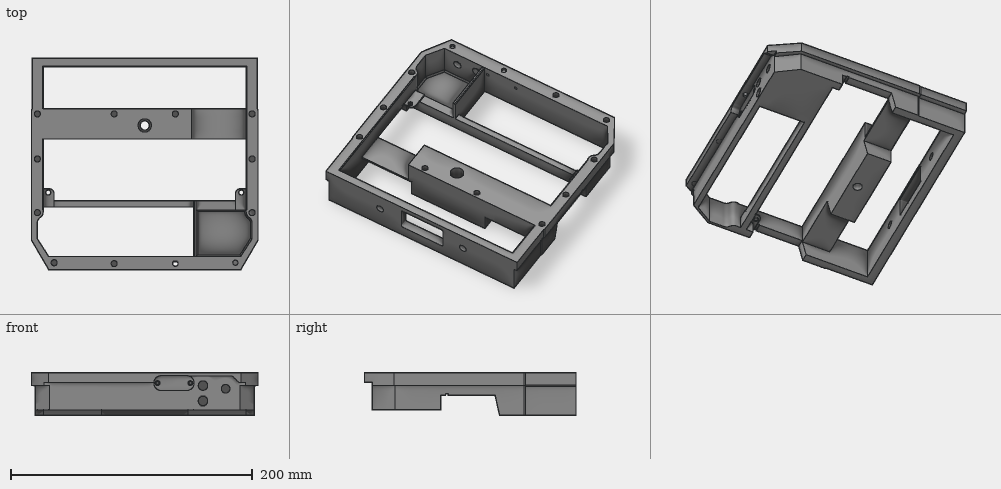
import cadquery as cq

width = 187.3
depth = 175.0
height = 35.2

clearance = 1.9

flange_bottom = 24.5
front_lip_bottom = 27.2
skirt_half = 90.7
rear_inset = 0.5
rear_flange_half = width / 2 - rear_inset
rear_skirt_half = skirt_half - rear_inset
jog_front = 132.0
jog_rear = 133.4
flange_corner = (79.5, 24.4)
skirt_corner = (78.7, 25.1)
skirt_front = 6.4
rear_flange_bottom = 25.1
rear_flange_slope_end = 23.8

front_bottom = 4.5
side_gap_top = 16.5
side_gap_front = 63.1
side_gap_rear = 107.9
rear_foot_front = 111.6

inner_half = 84.0
inner_rear = 167.7
inner_front = 11.0
bay_half = 88.8
bay_front_half = 79.5
bay_diagonal_y = 25.7
bay_side_y = 41.5
bay_shoulder_y = 45.0
rim_chamfer = 0.7
boss_radius = 5.2
boss_side_radius = 5.8
bay_side = [
    (bay_front_half, inner_front),
    (bay_half, bay_diagonal_y),
    (bay_half, bay_side_y),
    (inner_half, bay_shoulder_y),
]

bar_front = 108.0
bar_rear = 133.2
bar_right = 38.8
bar_bottom = 14.8
plate_top = side_gap_top
block_half = 35.8
bar_hole_y = 119.3
bar_hole_diameter = 7.5
bar_counterbore_diameter = 11.0

rail_front = 51.9
rail_rear = 57.1
rail_top = 16.1
partition_left = 40.3
partition_right = 42.5
partition_top = 34.8
partition_chamfer = 0.7
bay_floor = 6.4
bay_rear = 49.5
bay_floor_chamfer = 1.3
bay_corner_radius = 1.7

tab_inner_x = 75.0
tab_rear = 67.0
tab_thickness = 1.1
tab_corner = 4.1
tab_hole_x = 79.8
tab_hole_y = 63.9
tab_hole_diameter = 4.0
tab_notch_rear = 69.1
tab_notch_top = side_gap_top + tab_thickness

screw_diameter = 5.0
screw_depth = 7.1
small_screw_diameter = 4.3
corner_screw_depth = 2.2
side_screw_x = 88.8
side_screw_ys = (47.2, 91.6, 128.9)
middle_screw_x = 25.3
front_screw_y = 5.0
corner_screw_x = 75.0
corner_screw_y = 5.8

seat_x = 24.2
seat_z = 26.6
seat_length = 33.3
seat_height = 12.4
seat_depth = 1.0
seat_hole_spacing = 27.2
seat_hole_diameter = 2.6
seat_counterbore_diameter = 4.0
seat_counterbore_depth = 0.5
seat_hole_depth = 2.8
relief_top = 32.6
relief_right = 72.3
relief_slope = relief_top - front_lip_bottom

front_ports = ((48.1, 24.5, 7.9), (48.1, 11.8, 7.9), (66.9, 22.0, 7.1))

window_x = -0.5
window_width = 40.5
window_bottom = 10.3
window_top = 30.7
window_corner = 1.5
rear_hole_x = 40.3
rear_hole_z = 20.0
rear_hole_diameter = 6.5


def box(x0, x1, y0, y1, z0, z1):
    """Box given by its limits along each axis."""
    return cq.Workplane("XY").box(x1 - x0, y1 - y0, z1 - z0, centered=False).translate((x0, y0, z0))


def prism(points, z0, z1):
    """Upright prism over a closed outline in X and Y."""
    return cq.Workplane("XY").workplane(offset=z0).polyline(points).close().extrude(z1 - z0)


def mirrored(points):
    """Close an outline that is symmetric in X from its right half."""
    return points + [(-x, y) for x, y in reversed(points)]


def drill(x, y, diameter, z0, z1):
    """Upright cylinder used as a hole."""
    return cq.Workplane("XY").workplane(offset=z0).center(x, y).circle(diameter / 2).extrude(z1 - z0)


def drill_along_y(x, z, diameter, y0, y1):
    """Cylinder along Y used as a hole."""
    plane = cq.Workplane("XZ", origin=(0, y0, 0))
    return plane.center(x, z).circle(diameter / 2).extrude(y0 - y1)


def outer_body():
    skirt = prism(
        mirrored([
            (skirt_corner[0], skirt_front),
            (skirt_half, skirt_corner[1]),
            (skirt_half, jog_front),
            (rear_skirt_half, jog_rear),
            (rear_skirt_half, depth),
        ]),
        0,
        height,
    )
    front_flange = prism(
        mirrored([
            (flange_corner[0], 0),
            (width / 2, flange_corner[1]),
            (width / 2, jog_front),
            (rear_flange_half, jog_rear),
        ]),
        flange_bottom,
        height,
    )
    under_lip = box(-width, width, -clearance, skirt_front, 0, front_lip_bottom)
    rear_profile = mirrored([
        (rear_skirt_half, rear_flange_slope_end),
        (rear_flange_half, rear_flange_bottom),
        (rear_flange_half, height),
    ])
    rear_flange = (
        cq.Workplane("XZ", origin=(0, jog_rear, 0)).polyline(rear_profile).close().extrude(jog_rear - depth)
    )
    return skirt.union(front_flange.cut(under_lip)).union(rear_flange)


def bottom_gap():
    """Space below the stepped bottom edge, seen along X."""
    outline = [
        (-clearance, -clearance),
        (-clearance, front_bottom),
        (side_gap_front, front_bottom),
        (side_gap_front, side_gap_top),
        (side_gap_rear, side_gap_top),
        (rear_foot_front, 0),
        (rear_foot_front, -clearance),
    ]
    return cq.Workplane("YZ").polyline(outline).close().extrude(width / 2, both=True)


def round_upright(body, x, y, radius):
    """Round the upright edges of a body that stand at X = +x and X = -x."""
    reach = 0.2
    for corner_x in (-x, x):
        low = (corner_x - reach, y - reach, 0)
        high = (corner_x + reach, y + reach, height)
        around = cq.selectors.BoxSelector(low, high)
        if body.edges("|Z").edges(around).size() > 0:
            body = body.edges("|Z").edges(around).fillet(radius)
    return body


def curve_bay_side(body):
    """Turn the slanted step beside the foremost side screws into a smooth curve."""
    body = round_upright(body, inner_half, bay_shoulder_y, boss_radius)
    return round_upright(body, bay_half, bay_side_y, boss_side_radius)


def opening():
    """Inner opening of the frame over its full height."""
    return curve_bay_side(prism(mirrored(bay_side + [(inner_half, inner_rear)]), 0, height))


def rim_bevel():
    """Small bevel on the top inner edge along the sides and the rear."""
    bevel_front = bay_shoulder_y + boss_radius
    rear_opening = box(-inner_half, inner_half, bevel_front, inner_rear, height - rim_chamfer, height)
    return rear_opening.faces("<Z").wires().toPending().workplane().extrude(-rim_chamfer, taper=-45)


def crossbar():
    bar = box(-inner_half - rim_chamfer, bar_right, bar_front, bar_rear, bar_bottom, height)
    plate = box(bar_right, inner_half, bar_front, bar_rear, bar_bottom, plate_top)
    block = box(-block_half, block_half, bar_front, bar_rear, 0, bar_bottom)
    hole = drill(0, bar_hole_y, bar_hole_diameter, 0, height)
    counterbore = drill(0, bar_hole_y, bar_counterbore_diameter, bar_bottom, height)
    return bar.union(plate).union(block).cut(bottom_gap()).cut(hole).cut(counterbore)


def connector_bay():
    """Rail across the frame, with the partition and the floored bay at its right end."""
    rail = box(-inner_half, inner_half, rail_front, rail_rear, front_bottom, rail_top)
    partition = box(partition_left, partition_right, inner_front, rail_rear, front_bottom, partition_top)
    partition = partition.faces(">Z").edges("<X").chamfer(partition_chamfer)
    filling = box(partition_right, bay_half, inner_front, rail_front, front_bottom, rail_top)
    cavity_outline = bay_side + [
        (inner_half, bay_rear),
        (partition_right, bay_rear),
        (partition_right, inner_front),
    ]
    cavity = curve_bay_side(prism(cavity_outline, bay_floor, height))
    cavity = round_upright(cavity, inner_half, bay_rear, bay_corner_radius)
    cavity = cavity.faces("<Z").chamfer(bay_floor_chamfer)
    filling = filling.intersect(opening()).cut(cavity)
    return rail.union(partition).union(filling)


def tab(front, side):
    """Mounting tab reaching back from the rail; side is +1 on the right and -1 on the left."""
    plate = box(tab_inner_x, skirt_half, front, tab_rear, rail_top, tab_notch_top)
    plate = plate.edges("|Z and <X and >Y").fillet(tab_corner)
    below_tab = box(0, width, rail_rear, depth, 0, side_gap_top)
    plate = plate.cut(below_tab)
    plate = plate.cut(drill(tab_hole_x, tab_hole_y, tab_hole_diameter, 0, height))
    return plate if side > 0 else plate.mirror("YZ")


def screw_holes():
    """Screw holes in the top face, blind except for the one that opens into the oval seat."""
    top = height - screw_depth
    holes = drill(corner_screw_x, corner_screw_y, small_screw_diameter, height - corner_screw_depth, height)
    holes = holes.union(drill(-corner_screw_x, corner_screw_y, screw_diameter, top, height))
    holes = holes.union(drill(-middle_screw_x, front_screw_y, screw_diameter, top, height))
    holes = holes.union(drill(middle_screw_x, front_screw_y, small_screw_diameter, seat_z, height))
    for side in (-1, 1):
        holes = holes.union(drill(side * middle_screw_x, side_screw_ys[-1], screw_diameter, top, height))
        for y in side_screw_ys:
            holes = holes.union(drill(side * side_screw_x, y, screw_diameter, top, height))
    return holes


def front_seat():
    """Oval seat through the lip and into the wall, its two screw holes and the relief under the lip."""
    seat_floor = skirt_front + seat_depth
    front_plane = cq.Workplane("XZ")
    cut = front_plane.center(seat_x, seat_z).slot2D(seat_length, seat_height).extrude(-seat_floor)
    for side in (-1, 1):
        x = seat_x + side * seat_hole_spacing / 2
        cut = cut.union(drill_along_y(x, seat_z, seat_hole_diameter, 0, seat_floor + seat_hole_depth))
        counterbore_end = seat_floor + seat_counterbore_depth
        cut = cut.union(drill_along_y(x, seat_z, seat_counterbore_diameter, 0, counterbore_end))
    relief = front_plane.polyline([
        (seat_x, front_lip_bottom),
        (seat_x, relief_top),
        (relief_right, relief_top),
        (relief_right + relief_slope, front_lip_bottom),
    ])
    return cut.union(relief.close().extrude(-skirt_front))


def front_port_holes():
    holes = cq.Workplane("XY")
    for x, z, diameter in front_ports:
        holes = holes.add(drill_along_y(x, z, diameter, skirt_front, inner_front))
    return holes.combine()


def rear_wall_openings():
    window_left = window_x - window_width / 2
    window_right = window_x + window_width / 2
    window = box(window_left, window_right, inner_rear, depth, window_bottom, window_top)
    cut = window.edges("|Y").fillet(window_corner)
    for side in (-1, 1):
        cut = cut.union(drill_along_y(side * rear_hole_x, rear_hole_z, rear_hole_diameter, inner_rear, depth))
    return cut


frame = outer_body().cut(opening()).cut(bottom_gap()).cut(rim_bevel())
for side in (-1, 1):
    side_notch = box(inner_half, skirt_half, side_gap_front, tab_notch_rear, side_gap_top, tab_notch_top)
    frame = frame.cut(side_notch if side > 0 else side_notch.mirror("YZ"))

result = (
    frame.union(crossbar())
    .union(connector_bay())
    .union(tab(bay_rear, 1))
    .union(tab(rail_front, -1))
    .cut(screw_holes())
    .cut(front_seat())
    .cut(front_port_holes())
    .cut(rear_wall_openings())
)